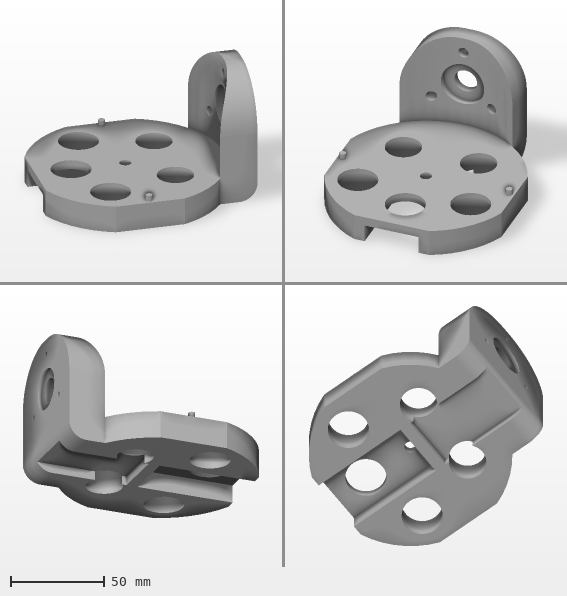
import cadquery as cq
import math

disc_radius = 54.5
plate_thickness = 15.2
plate_width = 102.0
front_y = -50.0
center_hole_diameter = 6.5

rear_opening_diameter = 20.0
rear_opening_x = 21.6
rear_opening_y = 21.9
front_opening_diameter = 22.0
front_opening_x = 32.5
front_opening_y = -17.1
middle_opening_y = -30.1

channel_width = 31.0
front_channel_height = 10.0
front_channel_end_y = 5.0
rear_channel_height = 5.0
rear_channel_start_y = 11.5

pin_diameter = 3.7
pin_height = 3.3
pin_x = 48.0

wall_width = 65.0
wall_height = 70.0
wall_back_y = front_y + 114.5
wall_corner_radius = 30.0
wall_foot_radius = 10.0

bore_z = 41.0
bore_diameter = 13.0
seat_diameter = 25.0
seat_floor_y = 57.8
back_recess_diameter = 23.0
back_recess_depth = 2.1
screw_count = 3
screw_circle_radius = 20.0
screw_diameter = 3.0
screw_head_diameter = 6.0
screw_head_floor_y = 57.8


def make_plate():
    """Disc trimmed by the side flats and the front flat."""
    disc = cq.Workplane("XY").circle(disc_radius).extrude(plate_thickness)
    trim = cq.Workplane("XY").box(
        plate_width, disc_radius - front_y, plate_thickness, centered=(True, False, False)
    )
    return disc.intersect(trim.translate((0, front_y, 0)))


def make_wall():
    """Upright wall with rounded top corners and a rounded rear foot, hollowed to the disc radius."""
    wall = cq.Workplane("XY").box(wall_width, wall_back_y, wall_height, centered=(True, False, False))
    wall = wall.edges("|Y and >Z").fillet(wall_corner_radius)
    wall = wall.edges("|X and >Y and <Z").fillet(wall_foot_radius)
    return wall.cut(cq.Workplane("XY").circle(disc_radius).extrude(wall_height))


def vertical_hole(x, y, diameter):
    return cq.Workplane("XY").center(x, y).circle(diameter / 2).extrude(plate_thickness)


def make_channel(start_y, end_y, height):
    channel = cq.Workplane("XY").box(channel_width, end_y - start_y, height, centered=(True, False, False))
    return channel.translate((0, start_y, 0))


def wall_hole(x, z, diameter, end_y):
    """Cylinder along Y from the XZ plane to end_y."""
    return cq.Workplane("XZ").center(x, z).circle(diameter / 2).extrude(-end_y)


result = make_plate().union(make_wall())

result = result.cut(vertical_hole(0, 0, center_hole_diameter))
result = result.cut(vertical_hole(0, middle_opening_y, front_opening_diameter))
for side in (-1, 1):
    result = result.cut(vertical_hole(side * rear_opening_x, rear_opening_y, rear_opening_diameter))
    result = result.cut(vertical_hole(side * front_opening_x, front_opening_y, front_opening_diameter))
result = result.cut(make_channel(front_y, front_channel_end_y, front_channel_height))
result = result.cut(make_channel(rear_channel_start_y, wall_back_y, rear_channel_height))

result = result.cut(wall_hole(0, bore_z, bore_diameter, wall_back_y))
result = result.cut(wall_hole(0, bore_z, seat_diameter, seat_floor_y))
back_recess = wall_hole(0, bore_z, back_recess_diameter, back_recess_depth)
result = result.cut(back_recess.translate((0, wall_back_y - back_recess_depth, 0)))
for index in range(screw_count):
    angle = math.radians(90 + index * 360 / screw_count)
    screw_x = screw_circle_radius * math.cos(angle)
    screw_z = bore_z + screw_circle_radius * math.sin(angle)
    result = result.cut(wall_hole(screw_x, screw_z, screw_diameter, wall_back_y))
    result = result.cut(wall_hole(screw_x, screw_z, screw_head_diameter, screw_head_floor_y))

for side in (-1, 1):
    pin = vertical_hole(side * pin_x, 0, pin_diameter)
    result = result.union(pin.translate((0, 0, pin_height)))